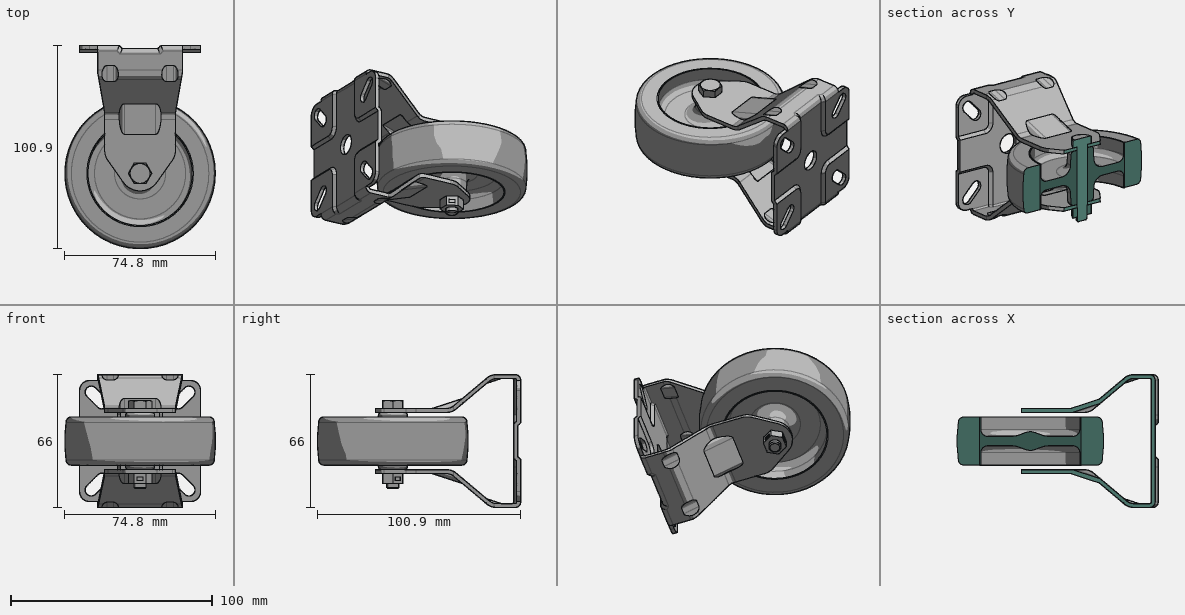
import cadquery as cq
import math


SHEET = 2.0
PLATE_BACK = 63.5
PLATE_HALF = 30.1
PLATE_CORNER = 5.0
FORK_HALF_HEIGHT = 33.0
FORK_HALF_WIDTH = 21.1
FOLD_RADIUS = 2.8
FOLD_INNER_RADIUS = FOLD_RADIUS - SHEET

PAD_STEP = 1.5
PAD_X = 8.8
PAD_Z = 7.6
PAD_CORNER = 5.3
PAD_TAPER = 45.0
STRIP_BACK = PLATE_BACK - PAD_STEP
PAD_INSET = SHEET * math.tan(math.radians(PAD_TAPER / 2))

SLOT_RADIUS = 2.98
SLOT_OUTER = 24.2
SLOT_INNER = 19.0
CENTRE_HOLE_RADIUS = 5.0

FLANGE_JOINT = 55.5
BEND_START = 51.4
BEND_ANGLE = math.radians(40)
BEND_RADIUS = 6.4
LEG_OUTER = 16.1
LEG_INNER = LEG_OUTER - SHEET
LEG_HALF_WIDTH = 17.6
TAPER_START = 50.2
TAPER_END = 30.0
SHOULDER_Y = 8.7
SHOULDER_RADIUS = 8.6
TIP_RADIUS = 10.3
TIP_END = -8.7

FLANGE_MIDDLE = FORK_HALF_HEIGHT - SHEET / 2
LEG_MIDDLE = LEG_OUTER - SHEET / 2
BEND_RUN = BEND_RADIUS * math.sin(BEND_ANGLE)
BEND_DROP = BEND_RADIUS * (1 - math.cos(BEND_ANGLE))
SLOPE_DROP = FLANGE_MIDDLE - LEG_MIDDLE - 2 * BEND_DROP
SLOPE_TOP = (BEND_START - BEND_RUN, FLANGE_MIDDLE - BEND_DROP)
SLOPE_END = (SLOPE_TOP[0] - SLOPE_DROP / math.tan(BEND_ANGLE), LEG_MIDDLE + BEND_DROP)

SMALL_GUSSET_X = 14.8
SMALL_GUSSET_HALF = 1.67
SMALL_GUSSET_REAR = 53.5
SMALL_GUSSET_FRONT = 45.5
SMALL_GUSSET_ROUND = 3.3
SMALL_BULGE_HALF = 2.6
SMALL_BULGE_ROUND = 1.8
LARGE_GUSSET_HALF = 7.7
LARGE_GUSSET_REAR = 34.5
LARGE_GUSSET_FRONT = 19.4
LARGE_GUSSET_ROUND = 2.7

WHEEL_RADIUS = 37.4
TREAD_EDGE_RADIUS = 36.8
WHEEL_HALF_WIDTH = 12.0
TYRE_ROUND = 2.7
CORE_RADIUS = 26.4
RIM_INNER_RADIUS = 25.8
RIM_FILLET = 3.2
WEB_HALF = 2.4
HUB_TOP_RADIUS = 7.2
HUB_ROOT_RADIUS = 7.8
HUB_FILLET = 5.2
HUB_TOP_ROUND = 1.4

BOLT_RADIUS = 3.0
BOLT_END = -23.6
BOLT_CHAMFER = 0.6
HEX_FLATS = 10.1
HEX_CORNERS = HEX_FLATS / math.cos(math.radians(30))
HEAD_HEIGHT = 4.0
HEAD_FACE_RADIUS = 4.9
NUT_HEIGHT = 4.9
NUT_MARK_WIDTH = 2.9
NUT_MARK_HEIGHT = 1.7
NUT_MARK_DEPTH = 0.3
NUT_MARK_Z = -18.8

EDGE_MARGIN = 0.1


def centred_box(half_x, y_front, y_back, half_z):
    return cq.Workplane("XY").box(2 * half_x, y_back - y_front, 2 * half_z).translate(
        (0, (y_front + y_back) / 2, 0)
    )


def pad_block(side_x, side_z, start_x, start_z, corner, base_y):
    """Tapered block rising from base_y to the pad level, rounded at its inner corner."""
    length = 2 * PLATE_HALF
    block = (
        cq.Workplane("XZ", origin=(0, base_y, 0))
        .center(side_x * (start_x + length / 2), side_z * (start_z + length / 2))
        .sketch()
        .rect(length, length)
        .vertices()
        .fillet(corner)
        .finalize()
        .extrude(-PAD_STEP, taper=PAD_TAPER)
    )
    return block


def pads(start_x, start_z, corner, base_y):
    """The four pad blocks, one in each corner of the plate."""
    blocks = cq.Workplane("XY")
    for side_x in (-1, 1):
        for side_z in (-1, 1):
            blocks = blocks.union(pad_block(side_x, side_z, start_x, start_z, corner, base_y))
    return blocks


def stepped_block(half_width, half_height, base_y, pad_blocks, fold_radius):
    """Block with the pads on its rear face and with rounded upper and lower rear edges."""
    limit = centred_box(half_width, FLANGE_JOINT, base_y + PAD_STEP, half_height)
    block = centred_box(half_width, FLANGE_JOINT, base_y, half_height)
    block = block.union(pad_blocks.intersect(limit))
    rear = cq.selectors.BoxSelector(
        (-PLATE_HALF, base_y - EDGE_MARGIN, -PLATE_HALF * 2),
        (PLATE_HALF, base_y + PAD_STEP + EDGE_MARGIN, PLATE_HALF * 2),
    )
    for face in (">Z", "<Z"):
        block = block.faces(face).edges(rear).fillet(fold_radius)
    return block


def make_plate(rear_pads, recesses):
    """Square mounting plate with its stepped pads."""
    outline = centred_box(PLATE_HALF, FLANGE_JOINT, PLATE_BACK, PLATE_HALF)
    outline = outline.edges("|Y").fillet(PLATE_CORNER)
    plate = centred_box(PLATE_HALF, STRIP_BACK - SHEET, STRIP_BACK, PLATE_HALF)
    return plate.union(rear_pads).cut(recesses).intersect(outline)


def make_channel():
    """Mounting plate folded into the two flanges."""
    rear_pads = pads(PAD_X, PAD_Z, PAD_CORNER, STRIP_BACK)
    recesses = pads(
        PAD_X + PAD_INSET, PAD_Z + PAD_INSET, PAD_CORNER - PAD_INSET, STRIP_BACK - SHEET
    )
    outside = stepped_block(FORK_HALF_WIDTH, FORK_HALF_HEIGHT, STRIP_BACK, rear_pads, FOLD_RADIUS)
    cavity = stepped_block(
        PLATE_HALF, FORK_HALF_HEIGHT - SHEET, STRIP_BACK - SHEET, recesses, FOLD_INNER_RADIUS
    )
    return outside.cut(cavity).union(make_plate(rear_pads, recesses).cut(cavity))


def slots():
    """Cutters for the four diagonal mounting slots."""
    middle = (SLOT_OUTER + SLOT_INNER) / 2
    length = (SLOT_OUTER - SLOT_INNER) * math.sqrt(2) + 2 * SLOT_RADIUS
    cutters = cq.Workplane("XY")
    for side_x in (-1, 1):
        for side_z in (-1, 1):
            cutter = (
                cq.Workplane("XZ", origin=(0, PLATE_BACK, 0))
                .center(side_x * middle, side_z * middle)
                .slot2D(length, 2 * SLOT_RADIUS, 45 * side_x * side_z)
                .extrude(SHEET + PAD_STEP)
            )
            cutters = cutters.union(cutter)
    return cutters


def centre_hole():
    return cq.Workplane("XZ", origin=(0, PLATE_BACK, 0)).circle(CENTRE_HOLE_RADIUS).extrude(SHEET + PAD_STEP)


def bent_strip(extra=0.0):
    """Upper leg as a plain bent strip; extra thickens it beyond its outer face."""
    path = (
        cq.Workplane("YZ")
        .moveTo(FLANGE_JOINT, FLANGE_MIDDLE)
        .lineTo(BEND_START, FLANGE_MIDDLE)
        .radiusArc(SLOPE_TOP, -BEND_RADIUS)
        .lineTo(*SLOPE_END)
        .radiusArc((SLOPE_END[0] - BEND_RUN, LEG_MIDDLE), BEND_RADIUS)
        .lineTo(TIP_END, LEG_MIDDLE)
    )
    return (
        cq.Workplane("XZ", origin=(0, FLANGE_JOINT, FLANGE_MIDDLE))
        .center(0, extra / 2)
        .rect(2 * FORK_HALF_WIDTH, SHEET + extra)
        .sweep(path)
    )


def leg_outline():
    """Outline of the flange and leg seen along Z, tall enough to trim the upper leg."""
    tip_centre = TIP_END + TIP_RADIUS
    distance = math.hypot(LEG_HALF_WIDTH, SHOULDER_Y - tip_centre)
    corner_angle = math.atan2(SHOULDER_Y - tip_centre, LEG_HALF_WIDTH)
    tangent_angle = corner_angle - math.acos(TIP_RADIUS / distance)
    tangent_x = TIP_RADIUS * math.cos(tangent_angle)
    tangent_y = tip_centre + TIP_RADIUS * math.sin(tangent_angle)
    outline = (
        cq.Workplane("XY")
        .moveTo(-FORK_HALF_WIDTH, FLANGE_JOINT)
        .lineTo(-FORK_HALF_WIDTH, TAPER_START)
        .lineTo(-LEG_HALF_WIDTH, TAPER_END)
        .lineTo(-LEG_HALF_WIDTH, SHOULDER_Y)
        .lineTo(-tangent_x, tangent_y)
        .threePointArc((0, TIP_END), (tangent_x, tangent_y))
        .lineTo(LEG_HALF_WIDTH, SHOULDER_Y)
        .lineTo(LEG_HALF_WIDTH, TAPER_END)
        .lineTo(FORK_HALF_WIDTH, TAPER_START)
        .lineTo(FORK_HALF_WIDTH, FLANGE_JOINT)
        .close()
        .extrude(FORK_HALF_HEIGHT)
    )
    shoulders = cq.selectors.BoxSelector(
        (-FORK_HALF_WIDTH, SHOULDER_Y - EDGE_MARGIN, 0),
        (FORK_HALF_WIDTH, SHOULDER_Y + EDGE_MARGIN, FORK_HALF_HEIGHT),
    )
    return outline.edges("|Z").edges(shoulders).fillet(SHOULDER_RADIUS)


def slope_outer_z(y):
    """Z of the outer face of the sloped stretch of the upper leg."""
    middle_z = SLOPE_END[1] + (y - SLOPE_END[0]) * math.tan(BEND_ANGLE)
    return middle_z + SHEET / 2 / math.cos(BEND_ANGLE)


def gusset_prism(centre_x, rear, front, flat_half, flat_height, far_height, side_round):
    """Round-shouldered prism along the line between two (Y, Z) points on the leg's outer face.

    Heights are measured outwards from that line. The narrow flat lies at flat_height, and its
    quarter-round sides run on straight to far_height.
    """
    length = math.hypot(rear[0] - front[0], rear[1] - front[1])
    direction = cq.Vector(0, front[0] - rear[0], front[1] - rear[1])
    plane = cq.Plane(origin=(centre_x, *rear), xDir=(1, 0, 0), normal=direction)
    half = flat_half + side_round
    towards_far = math.copysign(1, far_height - flat_height)
    round_end = flat_height + towards_far * side_round
    return (
        cq.Workplane(plane)
        .moveTo(-flat_half, flat_height)
        .lineTo(flat_half, flat_height)
        .tangentArcPoint((half, round_end), relative=False)
        .lineTo(half, far_height)
        .lineTo(-half, far_height)
        .lineTo(-half, round_end)
        .tangentArcPoint((-flat_half, flat_height), relative=False)
        .close()
        .extrude(length)
    )


def add_small_gusset(leg, centre_x):
    """Pocket pressed into the outside of the upper bend, with its bulge on the inside."""
    rear = (SMALL_GUSSET_REAR, FORK_HALF_HEIGHT)
    front = (SMALL_GUSSET_FRONT, slope_outer_z(SMALL_GUSSET_FRONT))
    bulge = gusset_prism(centre_x, rear, front, SMALL_BULGE_HALF, -SHEET, 0, SMALL_BULGE_ROUND)
    pocket = gusset_prism(
        centre_x, rear, front, SMALL_GUSSET_HALF, 0, 2 * SHEET, SMALL_GUSSET_ROUND
    )
    return leg.union(bulge).cut(pocket)


def add_large_gusset(leg):
    """Bulge bridging the outside of the lower bend, hollow on the inside."""
    rear = (LARGE_GUSSET_REAR, slope_outer_z(LARGE_GUSSET_REAR))
    front = (LARGE_GUSSET_FRONT, LEG_OUTER)
    bulge = gusset_prism(0, rear, front, LARGE_GUSSET_HALF, 0, -2 * SHEET, LARGE_GUSSET_ROUND)
    hollow_round = LARGE_GUSSET_ROUND - SHEET
    hollow = gusset_prism(0, rear, front, LARGE_GUSSET_HALF, -SHEET, -3 * SHEET, hollow_round)
    return leg.union(bulge.intersect(bent_strip(extra=1.5 * SHEET))).cut(hollow)


def make_leg():
    """Upper leg with its gussets, outline and axle hole."""
    leg = add_large_gusset(bent_strip())
    for side in (-1, 1):
        leg = add_small_gusset(leg, side * SMALL_GUSSET_X)
    axle_hole = cq.Workplane("XY").circle(BOLT_RADIUS).extrude(FORK_HALF_HEIGHT)
    return leg.intersect(leg_outline()).cut(axle_hole)


def make_bracket():
    upper_leg = make_leg()
    lower_leg = upper_leg.mirror("XY")
    return make_channel().cut(slots()).cut(centre_hole()).union(upper_leg).union(lower_leg)


def make_tyre():
    """Crowned tyre, turned about the Z axis."""
    edge_z = WHEEL_HALF_WIDTH - TYRE_ROUND
    face_radius = TREAD_EDGE_RADIUS - TYRE_ROUND
    diagonal = TYRE_ROUND * math.sqrt(0.5)
    return (
        cq.Workplane("XZ")
        .moveTo(CORE_RADIUS, -WHEEL_HALF_WIDTH)
        .lineTo(face_radius, -WHEEL_HALF_WIDTH)
        .threePointArc((face_radius + diagonal, -edge_z - diagonal), (TREAD_EDGE_RADIUS, -edge_z))
        .threePointArc((WHEEL_RADIUS, 0), (TREAD_EDGE_RADIUS, edge_z))
        .threePointArc((face_radius + diagonal, edge_z + diagonal), (face_radius, WHEEL_HALF_WIDTH))
        .lineTo(CORE_RADIUS, WHEEL_HALF_WIDTH)
        .close()
        .revolve(360, (0, 0, 0), (0, 1, 0))
    )


def make_core():
    """Wheel core: thin rim, flat web and a flared hub reaching from leg to leg."""
    def disc(radius, half_height):
        return cq.Workplane("XY").circle(radius).extrude(half_height, both=True)

    rim = disc(CORE_RADIUS, WHEEL_HALF_WIDTH).cut(disc(RIM_INNER_RADIUS, WHEEL_HALF_WIDTH))
    hub_draft = math.degrees(math.atan((HUB_ROOT_RADIUS - HUB_TOP_RADIUS) / LEG_INNER))
    hub = cq.Workplane("XY").circle(HUB_ROOT_RADIUS).extrude(LEG_INNER, taper=hub_draft)
    hub = hub.union(hub.mirror("XY"))
    core = rim.union(disc(RIM_INNER_RADIUS, WEB_HALF)).union(hub)
    for side in (-1, 1):
        web = cq.selectors.BoxSelector(
            (-CORE_RADIUS, -CORE_RADIUS, side * WEB_HALF - EDGE_MARGIN),
            (CORE_RADIUS, CORE_RADIUS, side * WEB_HALF + EDGE_MARGIN),
        )
        roots = core.edges("%CIRCLE").edges(web)
        core = roots.edges(cq.selectors.RadiusNthSelector(0)).fillet(HUB_FILLET)
        roots = core.edges("%CIRCLE").edges(web)
        core = roots.edges(cq.selectors.RadiusNthSelector(-1)).fillet(RIM_FILLET)
    core = core.faces("<Z or >Z").edges().fillet(HUB_TOP_ROUND)
    return core.cut(disc(BOLT_RADIUS, LEG_INNER))


def make_bolt():
    """Hexagon bolt with a rounded-off head and a chamfered end."""
    head = cq.Workplane("XY", origin=(0, 0, LEG_OUTER)).polygon(6, HEX_CORNERS).extrude(HEAD_HEIGHT)
    crown_drop = (HEX_CORNERS / 2 - HEAD_FACE_RADIUS) * math.tan(math.radians(30))
    crown = (
        cq.Workplane("XY", origin=(0, 0, LEG_OUTER))
        .circle(HEX_CORNERS / 2)
        .extrude(HEAD_HEIGHT)
        .faces(">Z")
        .chamfer(crown_drop, HEX_CORNERS / 2 - HEAD_FACE_RADIUS)
    )
    shank = (
        cq.Workplane("XY", origin=(0, 0, BOLT_END))
        .circle(BOLT_RADIUS)
        .extrude(LEG_OUTER - BOLT_END)
        .faces("<Z")
        .chamfer(BOLT_CHAMFER)
    )
    return head.intersect(crown).union(shank)


def make_nut():
    """Hexagon nut with a shallow rectangular dent in every second side."""
    nut = (
        cq.Workplane("XY", origin=(0, 0, -LEG_OUTER - NUT_HEIGHT))
        .polygon(6, HEX_CORNERS)
        .circle(BOLT_RADIUS)
        .extrude(NUT_HEIGHT)
    )
    dent = cq.Workplane("XY").box(NUT_MARK_WIDTH, 2 * NUT_MARK_DEPTH, NUT_MARK_HEIGHT)
    dent = dent.translate((0, -HEX_FLATS / 2, NUT_MARK_Z))
    for turn in (0, 120, 240):
        nut = nut.cut(dent.rotate((0, 0, 0), (0, 0, 1), turn))
    return nut


bracket = make_bracket()
tyre = make_tyre()
core = make_core()
bolt = make_bolt()
nut = make_nut()

result = cq.Compound.makeCompound([bracket.val(), tyre.val(), core.val(), bolt.val(), nut.val()])